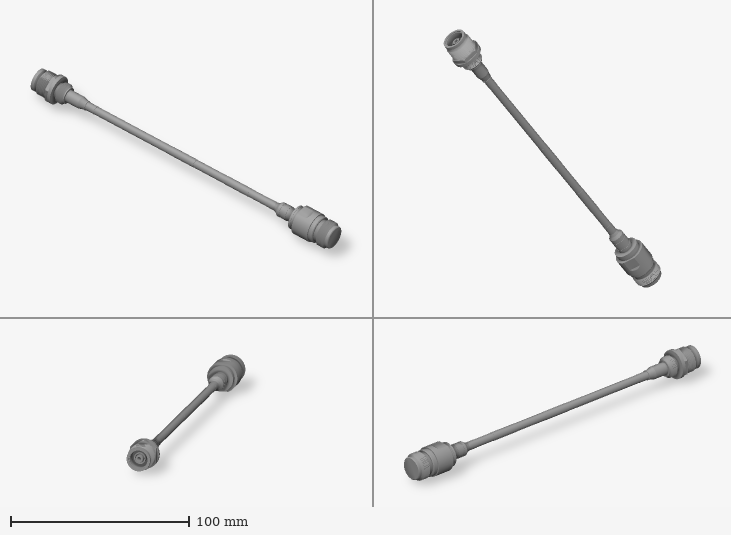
import cadquery as cq
import math


TOTAL_LENGTH = 206.5

CABLE_START = 40.7
CABLE_END = 160.2
CABLE_DIA = 4.7
SLEEVE_DIA = 5.0
SLEEVE_LENGTH = 17.0
SLEEVE_STARTS = (93.0, 130.7)

COLLAR_END = 1.9
NECK_X = 2.7
THREAD_START = 3.7
THREAD_END = 10.3
NUT_END = 12.5
FLANGE_END = 14.7
REAR_THREAD_START = 16.3
REAR_THREAD_END = 20.0
REAR_BEVEL_END = 20.9
REAR_END = 21.5
BARREL_EDGE_X = 30.1
BARREL_END = 31.4
BEAD_START = 33.9
BEAD_END = 34.5

COLLAR_DIA = 13.6
NECK_DIA = 11.1
THREAD_CREST_DIA = 14.9
THREAD_ROOT_DIA = 13.2
THREAD_RIDGES = 7
THREAD_FLAT_Z = 6.6
FLANGE_DIA = 17.1
REAR_DIA = 10.0
REAR_CREST_DIA = 12.4
REAR_ROOT_DIA = 11.5
REAR_THREAD_RIDGES = 5
BARREL_DIA = 7.5
BARREL_END_DIA = 6.6
TAPER_DIA = 5.4
BEAD_DIA = 5.8
FERRULE_DIA = SLEEVE_DIA

MOUTH_DIA = 10.3
MOUTH_DEPTH = 6.2
MOUTH_RIM_DIA = 11.1
MOUTH_RIM_DEPTH = 0.6
INSULATOR_DIA = 6.6
INSULATOR_BORE = 5.4
INSULATOR_FRONT_X = 3.0
CONTACT_DIA = 4.1
CONTACT_FRONT_X = 2.0
SOCKET_DIA = 2.0

NUT_ACROSS_FLATS = 15.0
NUT_CHAMFER = 0.5

BOOT_START = 165.8
BOOT_FLARE_X = 167.5
BOOT_FULL_X = 169.1
BOOT_END = 179.5
BOOT_GROOVES = ((170.8, 172.0), (175.0, 177.2))
RING_END = 180.7
SHELL_START = 183.0
SHELL_END = 193.7
PLUG_BODY_END = 196.5

BOOT_FLARE_DIA = 6.2
BOOT_DIA = 8.7
BOOT_GROOVE_DEPTH = 0.2
RING_DIA = 14.5
SHOULDER_DIA = 14.0
SHELL_DIA = 17.5
FRONT_STEP_DIA = 16.1
FRONT_CHAMFER = 0.5

WRENCH_FLAT_Z = 8.0
WRENCH_FLAT_END = 189.1
WRENCH_RAMP_LENGTH = 1.2

TIP_THREAD_START = 199.0
TIP_THREAD_END = 203.5
TIP_BEVEL_END = 204.5
TIP_CREST_DIA = 16.1
TIP_ROOT_DIA = 15.3
TIP_THREAD_RIDGES = 6
COUPLING_DIA = 13.6
TIP_CHAMFER = 0.5


def turned(outline):
    """Revolve an outline of (x, diameter) corners about the X axis, starting on the -Y side."""
    points = [(x, -diameter / 2) for x, diameter in outline]
    return cq.Workplane("XY").polyline(points).close().revolve(360, (0, 0, 0), (1, 0, 0))


def rod(start, end, diameter):
    """A plain cylinder on the X axis."""
    return cq.Workplane("YZ", origin=(start, 0, 0)).circle(diameter / 2).extrude(end - start)


def thread(start, end, crest_dia, root_dia, ridges):
    """Outline corners of V-shaped ridges that stand for a thread, ready to join a turned outline."""
    pitch = (end - start) / ridges
    corners = []
    for i in range(ridges):
        corners.append((start + i * pitch, root_dia))
        corners.append((start + (i + 0.5) * pitch, crest_dia))
    corners.append((end, root_dia))
    return corners


def make_jack():
    outline = [
        (0, 0),
        (0, COLLAR_DIA),
        (COLLAR_END, COLLAR_DIA),
        (NECK_X, NECK_DIA),
        *thread(THREAD_START, THREAD_END, THREAD_CREST_DIA, THREAD_ROOT_DIA, THREAD_RIDGES),
        (NUT_END, THREAD_ROOT_DIA),
        (NUT_END, FLANGE_DIA),
        (FLANGE_END, FLANGE_DIA),
        (FLANGE_END, REAR_DIA),
        (REAR_THREAD_START, REAR_DIA),
        *thread(
            REAR_THREAD_START, REAR_THREAD_END, REAR_CREST_DIA, REAR_ROOT_DIA, REAR_THREAD_RIDGES
        ),
        (REAR_BEVEL_END, REAR_DIA),
        (REAR_END, REAR_DIA),
        (REAR_END, BARREL_DIA),
        (BARREL_EDGE_X, BARREL_DIA),
        (BARREL_END, BARREL_END_DIA),
        (BEAD_START, TAPER_DIA),
        (BEAD_START, BEAD_DIA),
        (BEAD_END, BEAD_DIA),
        (BEAD_END, FERRULE_DIA),
        (CABLE_START, FERRULE_DIA),
        (CABLE_START, 0),
    ]
    return turned(outline).cut(thread_flat()).cut(mouth())


def thread_flat():
    """Block that planes the top of the thread flat."""
    length = NUT_END - THREAD_START
    width = THREAD_CREST_DIA
    height = THREAD_CREST_DIA / 2
    block = cq.Workplane("XY").box(length, width, height, centered=(False, True, False))
    return block.translate((THREAD_START, 0, THREAD_FLAT_Z))


def mouth():
    """Space inside the jack mouth, around the insulator and the socket contact."""
    socket = rod(0, MOUTH_DEPTH, SOCKET_DIA)
    annulus = turned(
        [
            (0, 0),
            (0, MOUTH_RIM_DIA),
            (MOUTH_RIM_DEPTH, MOUTH_RIM_DIA),
            (MOUTH_RIM_DEPTH, MOUTH_DIA),
            (MOUTH_DEPTH, MOUTH_DIA),
            (MOUTH_DEPTH, INSULATOR_DIA),
            (INSULATOR_FRONT_X, INSULATOR_DIA),
            (INSULATOR_FRONT_X, INSULATOR_BORE),
            (MOUTH_DEPTH, INSULATOR_BORE),
            (MOUTH_DEPTH, CONTACT_DIA),
            (CONTACT_FRONT_X, CONTACT_DIA),
            (CONTACT_FRONT_X, 0),
        ]
    )
    return annulus.union(socket)


def make_nut(jack):
    """Hex nut with flats facing +-Y, corners chamfered on the mouth side, bored to fit the jack."""
    length = NUT_END - THREAD_END
    corner_dia = NUT_ACROSS_FLATS / math.cos(math.pi / 6)
    hexagon = (
        cq.Workplane("YZ", origin=(THREAD_END, 0, 0))
        .polygon(6, corner_dia)
        .extrude(length)
        .rotate((0, 0, 0), (1, 0, 0), 90)
    )
    rounding = turned(
        [
            (THREAD_END, 0),
            (THREAD_END, corner_dia - 2 * NUT_CHAMFER),
            (THREAD_END + NUT_CHAMFER, corner_dia),
            (NUT_END, corner_dia),
            (NUT_END, 0),
        ]
    )
    return hexagon.intersect(rounding).cut(jack)


def make_plug():
    outline = [
        (CABLE_END, 0),
        (CABLE_END, FERRULE_DIA),
        (BOOT_START, FERRULE_DIA),
        (BOOT_FLARE_X, BOOT_FLARE_DIA),
        (BOOT_FULL_X, BOOT_DIA),
    ]
    groove_dia = BOOT_DIA - 2 * BOOT_GROOVE_DEPTH
    for start, end in BOOT_GROOVES:
        outline += [(start, BOOT_DIA), (start, groove_dia), (end, groove_dia), (end, BOOT_DIA)]
    outline += [
        (BOOT_END, BOOT_DIA),
        (BOOT_END, RING_DIA),
        (RING_END, RING_DIA),
        (RING_END, SHOULDER_DIA),
        (SHELL_START, SHOULDER_DIA),
        (SHELL_START, SHELL_DIA),
        (SHELL_END, SHELL_DIA),
        (SHELL_END, FRONT_STEP_DIA),
        (PLUG_BODY_END - FRONT_CHAMFER, FRONT_STEP_DIA),
        (PLUG_BODY_END, FRONT_STEP_DIA - 2 * FRONT_CHAMFER),
        (PLUG_BODY_END, 0),
    ]
    plug = turned(outline)
    flat = wrench_flat()
    return plug.cut(flat).cut(flat.mirror("XY"))


def wrench_flat():
    """Cutter for the upper wrench flat, with a ramp where it runs out of the shell."""
    top = SHELL_DIA / 2
    return (
        cq.Workplane("XZ")
        .moveTo(SHELL_START, WRENCH_FLAT_Z)
        .lineTo(WRENCH_FLAT_END, WRENCH_FLAT_Z)
        .lineTo(WRENCH_FLAT_END + WRENCH_RAMP_LENGTH, top)
        .lineTo(SHELL_START, top)
        .close()
        .extrude(top, both=True)
    )


def make_coupling():
    """Threaded front part of the plug."""
    return turned(
        [
            (PLUG_BODY_END, 0),
            (PLUG_BODY_END, COUPLING_DIA),
            (TIP_THREAD_START, COUPLING_DIA),
            *thread(
                TIP_THREAD_START, TIP_THREAD_END, TIP_CREST_DIA, TIP_ROOT_DIA, TIP_THREAD_RIDGES
            ),
            (TIP_BEVEL_END, COUPLING_DIA),
            (TOTAL_LENGTH - TIP_CHAMFER, COUPLING_DIA),
            (TOTAL_LENGTH, COUPLING_DIA - 2 * TIP_CHAMFER),
            (TOTAL_LENGTH, 0),
        ]
    )


def make_sleeve(start):
    """Thin marker sleeve around the cable."""
    end = start + SLEEVE_LENGTH
    return rod(start, end, SLEEVE_DIA).cut(rod(start, end, CABLE_DIA))


jack = make_jack()
nut = make_nut(jack)
cable = rod(CABLE_START, CABLE_END, CABLE_DIA)
sleeves = [make_sleeve(start) for start in SLEEVE_STARTS]
plug = make_plug()
coupling = make_coupling()

result = cq.Compound.makeCompound(
    [
        jack.val(),
        nut.val(),
        cable.val(),
        *[sleeve.val() for sleeve in sleeves],
        plug.val(),
        coupling.val(),
    ]
)